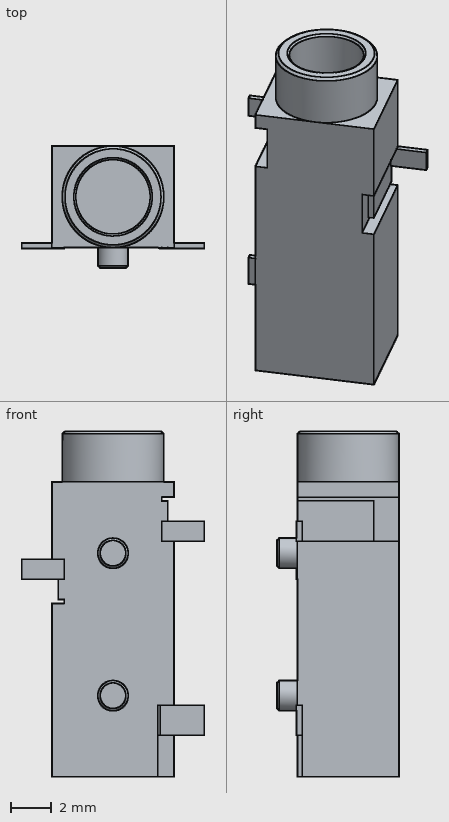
import cadquery as cq

total_height = 16.99
neck_height = 2.5
body_height = total_height - neck_height
body_width = 6.0
body_depth = 5.0
half_width = body_width / 2

neck_diameter = body_depth
neck_chamfer = 0.14
bore_diameter = 3.65
bore_chamfer = 0.1

peg_diameter = 1.5
peg_length = 1.0
peg_chamfer = 0.12
peg_heights = (4.0, 11.0)

span = 8.99
sheet = 0.29
lead_proud = 0.05
lead_height = 1.0

window_depth = 0.6
window_height = 2.17
plate_height = 1.99
plate_depth = 3.75
left_window_base = 8.53
right_window_base = 11.57

recess_width = 0.8
recess_depth = sheet - lead_proud
lower_lead_base = 2.04
lower_lead_height = 1.5
lower_lead_bevel = 0.12


def box(x_range, y_range, z_range):
    """Box given by its (low, high) limits along each axis."""
    (x0, x1), (y0, y1), (z0, z1) = x_range, y_range, z_range
    return cq.Workplane("XY").box(x1 - x0, y1 - y0, z1 - z0, centered=False).translate((x0, y0, z0))


def make_neck():
    """Revolved ring, chamfered outside and inside at its rim; the body top closes the socket."""
    outer = neck_diameter / 2
    bore = bore_diameter / 2
    return (
        cq.Workplane("XZ")
        .moveTo(bore, 0)
        .lineTo(outer, 0)
        .lineTo(outer, neck_height - neck_chamfer)
        .lineTo(outer - neck_chamfer, neck_height)
        .lineTo(bore + bore_chamfer, neck_height)
        .lineTo(bore, neck_height - bore_chamfer)
        .close()
        .revolve(360, (0, 0, 0), (0, 1, 0))
        .translate((0, body_depth / 2, body_height))
    )


def make_peg(height):
    """Chamfered peg pointing toward -Y."""
    return (
        cq.Workplane("XZ", origin=(0, 0, height))
        .circle(peg_diameter / 2)
        .extrude(peg_length)
        .faces("<Y")
        .chamfer(peg_chamfer)
    )


def make_side_window(base):
    """Opening in the +X wall, running through the full depth."""
    return box((half_width - window_depth, half_width), (0, body_depth), (base, base + window_height))


def make_side_terminal(base):
    """Contact plate in the +X window with a lead bent outward at its lower front end."""
    inner = half_width - window_depth
    plate = box((inner, inner + sheet), (0, plate_depth), (base, base + plate_height))
    lead = box((inner, span / 2), (-lead_proud, sheet - lead_proud), (base, base + lead_height))
    return plate.union(lead)


def turn_to_left(shape, base):
    """Half turn about Y that moves a +X window feature to the -X window."""
    return shape.rotate((0, 0, 0), (0, 1, 0), 180).translate((0, 0, 2 * base + window_height))


def make_lower_terminal():
    """Flat lead in the corner recess, bevelled down to the mounting face at its inner end."""
    inner = half_width - recess_width
    return (
        cq.Workplane("XY", origin=(0, 0, lower_lead_base))
        .moveTo(inner, recess_depth)
        .lineTo(inner, 0)
        .lineTo(inner + lower_lead_bevel, -lead_proud)
        .lineTo(span / 2, -lead_proud)
        .lineTo(span / 2, recess_depth)
        .close()
        .extrude(lower_lead_height)
    )


result = box((-half_width, half_width), (0, body_depth), (0, body_height)).union(make_neck())

right_window = make_side_window(right_window_base)
right_terminal = make_side_terminal(right_window_base)
left_window = turn_to_left(make_side_window(left_window_base), left_window_base)
left_terminal = turn_to_left(make_side_terminal(left_window_base), left_window_base)
result = result.cut(right_window).union(right_terminal)
result = result.cut(left_window).union(left_terminal)

lower_recess = box(
    (half_width - recess_width, half_width),
    (0, recess_depth),
    (0, lower_lead_base + lower_lead_height),
)
result = result.cut(lower_recess).union(make_lower_terminal())

for peg_height in peg_heights:
    result = result.union(make_peg(peg_height))